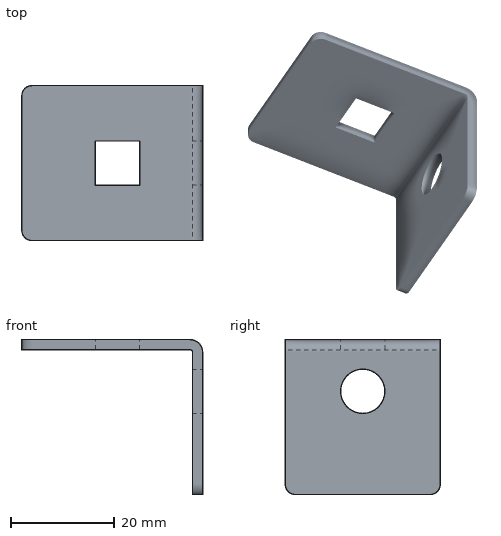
import cadquery as cq

length = 35.0
width = 30.0
height = 30.0

thickness = 2.0
inner_bend_radius = 0.5
outer_bend_radius = inner_bend_radius + thickness
corner_radius = 2.0

hole_size = 8.5
square_hole_from_free_edge = 18.5
round_hole_below_top = 10.0


def bent_sheet():
    """L-shaped sheet: top flange at Z = 0, vertical flange ending at X = length."""
    blank = (
        cq.Workplane("XZ")
        .polyline([
            (0, 0),
            (length, 0),
            (length, -height),
            (length - thickness, -height),
            (length - thickness, -thickness),
            (0, -thickness),
        ])
        .close()
        .extrude(width / 2, both=True)
    )
    inner_corner = cq.selectors.NearestToPointSelector((length - thickness, 0, -thickness))
    outer_corner = cq.selectors.NearestToPointSelector((length, 0, 0))
    return (
        blank.edges("|Y").edges(inner_corner).fillet(inner_bend_radius)
        .edges("|Y").edges(outer_corner).fillet(outer_bend_radius)
    )


def round_free_corners(sheet):
    """Round the two free corners of each flange."""
    return (
        sheet.faces("<X").edges("|Z").fillet(corner_radius)
        .faces("<Z").edges("|X").fillet(corner_radius)
    )


def square_hole():
    """Cutter through the top flange."""
    return (
        cq.Workplane("XY")
        .center(square_hole_from_free_edge, 0)
        .rect(hole_size, hole_size)
        .extrude(-thickness)
    )


def round_hole():
    """Cutter through the vertical flange."""
    return (
        cq.Workplane("YZ", origin=(length, 0, 0))
        .center(0, -round_hole_below_top)
        .circle(hole_size / 2)
        .extrude(-thickness)
    )


result = round_free_corners(bent_sheet()).cut(square_hole()).cut(round_hole())